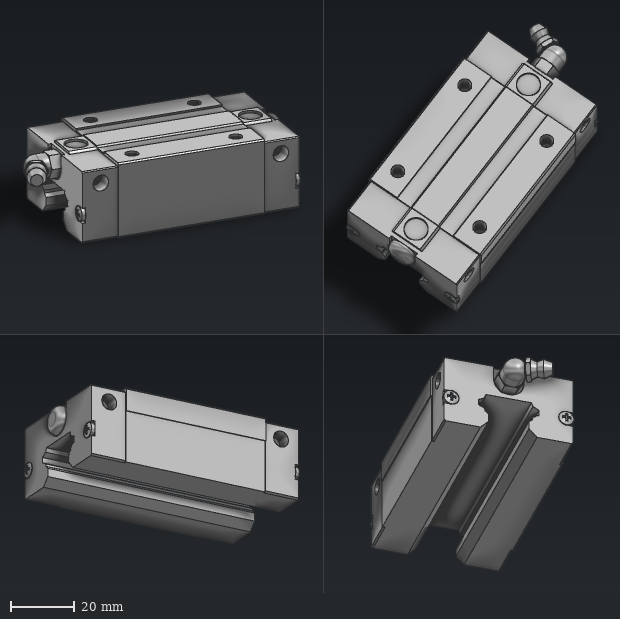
import cadquery as cq
import math


overall_length = 90.4

block_length = 50.6
height = 25.4
width = 44.0
relief_depth = 0.3
relief_top = 17.45
block_chamfer = 0.5
pad_inner_x = 10.9
groove_floor = 24.8
strip_half_width = 5.15
strip_flare = 0.45

hole_spacing_x = 32.0
hole_spacing_y = 36.0
hole_diameter = 4.3
hole_depth = 8.0
drill_angle = 118

cap_length = 9.8
plate_thickness = 2.5
end_half_width = 21.4
end_height = 24.2
end_chamfer_top = 0.4
end_chamfer_bottom = 0.5
cap_strip_height = 25.0
cap_strip_flare = 0.7
top_port_diameter = 7.6
top_port_depth = 0.8
side_port_diameter = 5.3
side_port_depth = 5.4
side_port_offset = 5.9

port_z = 19.4
recess_depth = 1.2
port_recess_radius = 5.1

mouth_half_width = 9.4
throat_half_width = 6.7
throat_bottom = 2.7
throat_top = 5.5
race_step_half_width = 7.9
race_step_z = 6.6
race_mouth_half_width = 8.05
race_half_width = 10.0
race_z = 9.5
race_mouth_half_height = 2.0
race_floor_half_height = 0.9
roof_half_width = 7.5
roof_z = 12.8

screw_spacing = 38.2
screw_z = 9.3
screw_radius = 2.5
screw_rim = 1.4
screw_crown = 0.6
cross_length = 2.7
cross_width = 0.7
cross_depth = 0.9

plug_radius = 4.9
plug_length = 3.4
plug_fillet = 2.5

nut_across_flats = 8.0
nut_length = 4.2
nut_chamfer = 0.3
elbow_radius = 4.0
elbow_length = 3.5
nipple_angle = 22.5
nipple_flats = 6.9
nipple_hex_start = 3.5
nipple_hex_end = 5.15
nipple_hex_chamfer = 0.4
collar_radius = 3.3
neck_radius = 2.4
neck_position = 7.1
head_diameter = 6.2
head_position = 9.2
tip_radius = 2.0

half_width = width / 2
block_end = block_length / 2
cap_end = block_end + cap_length
plate_end = cap_end + plate_thickness
recess_floor = plate_end - recess_depth
plug_end = recess_floor + plug_length
ball_y = -(recess_floor + nut_length + elbow_length)

lip_reach = overall_length - plug_end + ball_y
tilt = math.radians(nipple_angle)
tip_position = (lip_reach - tip_radius * math.cos(tilt)) / math.sin(tilt)


def extrude_along_y(sketch, y_start, y_end):
    """Extrude a closed XZ outline between two Y positions."""
    return sketch.extrude(y_start - y_end).translate((0, y_start, 0))


def symmetric_outline(right_side):
    """Closed XZ outline from the points of its +X half, mirrored about X = 0."""
    left_side = [(-x, z) for x, z in reversed(right_side)]
    return cq.Workplane("XZ").polyline(right_side + left_side).close()


def disc_along_y(radius, length):
    """Cylinder on the Y axis, from Y = 0 to Y = length."""
    return cq.Workplane("XZ").circle(radius).extrude(-length)


def chamfered_hex(plane, across_flats, length, chamfer):
    """Hexagonal prism whose corners are turned down at both ends."""
    corner_diameter = across_flats / math.cos(math.pi / 6)
    turned = cq.Workplane(plane).circle(corner_diameter / 2).extrude(length).edges().chamfer(chamfer)
    return cq.Workplane(plane).polygon(6, corner_diameter).extrude(length).intersect(turned)


def make_block():
    c = block_chamfer
    relief_x = relief_depth - half_width
    outline = (
        cq.Workplane("XZ")
        .moveTo(relief_x, 0)
        .lineTo(half_width - c, 0)
        .lineTo(half_width, c)
        .lineTo(half_width, height - c)
        .lineTo(half_width - c, height)
        .lineTo(pad_inner_x, height)
        .lineTo(pad_inner_x, groove_floor)
        .lineTo(strip_half_width + strip_flare, groove_floor)
        .lineTo(strip_half_width, height)
        .lineTo(-strip_half_width, height)
        .lineTo(-strip_half_width - strip_flare, groove_floor)
        .lineTo(-pad_inner_x, groove_floor)
        .lineTo(-pad_inner_x, height)
        .lineTo(c - half_width, height)
        .lineTo(-half_width, height - c)
        .lineTo(-half_width, relief_top)
        .lineTo(relief_x, relief_top)
        .close()
    )
    return extrude_along_y(outline, -block_end, block_end)


def mounting_holes():
    radius = hole_diameter / 2
    cone = radius / math.tan(math.radians(drill_angle / 2))
    hole = (
        cq.Workplane("XZ")
        .moveTo(0, height)
        .lineTo(radius, height)
        .lineTo(radius, height - hole_depth)
        .lineTo(0, height - hole_depth - cone)
        .close()
        .revolve(360, (0, 0, 0), (0, 1, 0))
    )
    holes = cq.Workplane()
    for x in (-hole_spacing_x / 2, hole_spacing_x / 2):
        for y in (-hole_spacing_y / 2, hole_spacing_y / 2):
            holes = holes.add(hole.translate((x, y, 0)))
    return holes.combine()


def make_screw():
    """Crowned screw head with a cross recess, seated at Y = 0 and facing +Y."""
    top = screw_rim + screw_crown
    crown_radius = (screw_radius**2 + screw_crown**2) / (2 * screw_crown)
    ball = cq.Workplane("XY").sphere(crown_radius).translate((0, top - crown_radius, 0))
    head = disc_along_y(screw_radius, top).intersect(ball)
    slot = cq.Workplane("XY").box(cross_length, 2 * cross_depth, cross_width).translate((0, top, 0))
    return head.cut(slot).cut(slot.rotate((0, 0, 0), (0, 1, 0), 90))


def make_end():
    """End cap with cover plate and screws at the +Y end."""
    top, bottom = end_chamfer_top, end_chamfer_bottom
    right_side = [
        (end_half_width - bottom, 0),
        (end_half_width, bottom),
        (end_half_width, end_height - top),
        (end_half_width - top, end_height),
    ]
    end = extrude_along_y(symmetric_outline(right_side), block_end, plate_end)

    strip_base = strip_half_width + cap_strip_flare
    strip_side = [(strip_base, end_height), (strip_half_width, cap_strip_height)]
    end = end.union(extrude_along_y(symmetric_outline(strip_side), block_end, cap_end))

    top_port = (
        cq.Workplane("XY", origin=(0, block_end + cap_length / 2, cap_strip_height))
        .circle(top_port_diameter / 2)
        .extrude(-top_port_depth)
    )
    end = end.cut(top_port)
    for side in (-1, 1):
        side_port = (
            cq.Workplane("YZ", origin=(side * end_half_width, block_end + side_port_offset, port_z))
            .circle(side_port_diameter / 2)
            .extrude(-side * side_port_depth)
        )
        end = end.cut(side_port)

    recess = disc_along_y(port_recess_radius, recess_depth).union(
        cq.Workplane("XY")
        .box(2 * port_recess_radius, recess_depth, height - port_z, centered=(True, False, False))
    )
    end = end.cut(recess.translate((0, recess_floor, port_z)))

    screw = make_screw()
    for side in (-1, 1):
        seat = (side * screw_spacing / 2, recess_floor, screw_z)
        pocket = disc_along_y(screw_radius, recess_depth).union(
            cq.Workplane("XY")
            .box(2 * screw_radius, recess_depth, 2 * screw_radius, centered=(True, False, True))
            .translate((side * screw_radius, 0, 0))
        )
        end = end.cut(pocket.translate(seat)).union(screw.translate(seat))
    return end


def rail_channel():
    """Rail-shaped channel through the underside, with ball races at both sides."""
    right_side = [
        (mouth_half_width, 0),
        (throat_half_width, throat_bottom),
        (throat_half_width, throat_top),
        (race_step_half_width, race_step_z),
        (race_mouth_half_width, race_z - race_mouth_half_height),
        (race_half_width, race_z - race_floor_half_height),
        (race_half_width, race_z + race_floor_half_height),
        (race_mouth_half_width, race_z + race_mouth_half_height),
        (roof_half_width, roof_z),
    ]
    return extrude_along_y(symmetric_outline(right_side), -plate_end, plate_end)


def make_plug():
    plug = disc_along_y(plug_radius, plug_length).faces(">Y").edges().fillet(plug_fillet)
    return plug.translate((0, recess_floor, port_z))


def make_nipple():
    """Angled grease nipple, with the ball end of its elbow at the origin."""
    nut = chamfered_hex("XZ", nut_across_flats, nut_length, nut_chamfer)
    nut = nut.translate((0, elbow_length + nut_length, 0))
    elbow = disc_along_y(elbow_radius, elbow_length).union(cq.Workplane("XY").sphere(elbow_radius))

    nipple_hex = (
        chamfered_hex("YZ", nipple_flats, nipple_hex_end - nipple_hex_start, nipple_hex_chamfer)
        .translate((nipple_hex_start, 0, 0))
    )
    turned = (
        cq.Workplane("XY")
        .lineTo(0, neck_radius)
        .lineTo(nipple_hex_end, neck_radius)
        .lineTo(nipple_hex_end, collar_radius)
        .lineTo(neck_position, neck_radius)
        .lineTo(head_position, head_diameter / 2)
        .lineTo(tip_position, tip_radius)
        .lineTo(tip_position, 0)
        .close()
        .revolve(360, (0, 0, 0), (1, 0, 0))
    )
    straight = nipple_hex.union(turned).rotate((0, 0, 0), (0, 0, 1), -nipple_angle)
    return nut.union(elbow).union(straight)


rear_end = make_end()
front_end = rear_end.mirror("XZ")

result = (
    make_block()
    .cut(mounting_holes())
    .union(rear_end)
    .union(front_end)
    .cut(rail_channel())
    .union(make_plug())
    .union(make_nipple().translate((0, ball_y, port_z)))
)